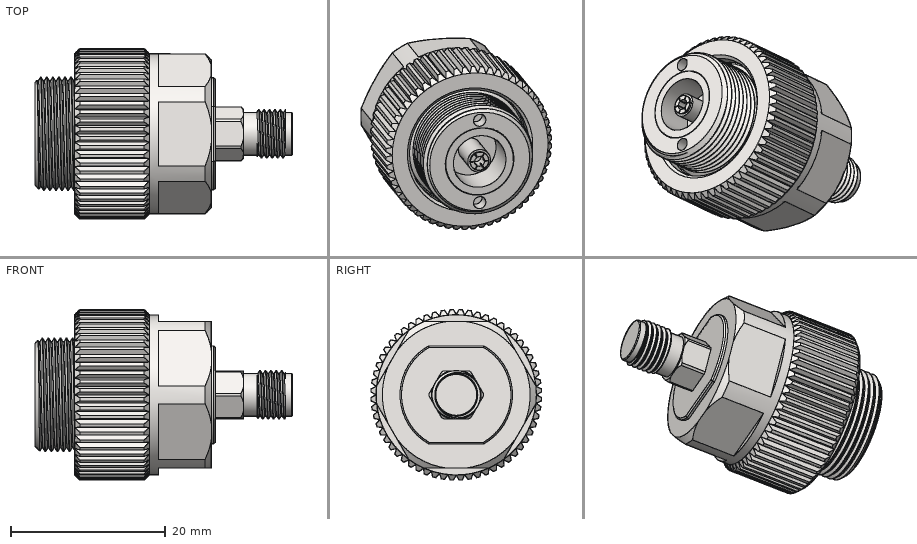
import cadquery as cq
import math


overall_length = 33.38
nut_start = 5.15
nut_end = 14.82
collar_end = 16.02
large_hex_end = 22.85
flange_end = 23.35
small_hex_end = 27.0

shell_face_radius = 6.68
shell_root_radius = 6.9
shell_crest_radius = 7.35
shell_pitch = 0.785
shell_crest_offset = 0.17

nut_chamfer = 0.67
groove_count = 60
groove_depth = 0.65
groove_width = 0.75
nut_radius = math.hypot(22.13 / 2, groove_width / 2)
nut_bore_radius = 16.0 / 2
nut_mouth_radius = 16.75 / 2
recess_floor = 7.15
inner_body_radius = 15.62 / 2

body_radius = 20.75 / 2
large_hex_flats = 19.03
large_hex_chamfer = 0.8
flange_radius = 14.6 / 2
flange_flats = 12.72
flange_chamfer = 0.2
small_hex_radius = 7.0 / 2
small_hex_flats = 6.25
small_hex_chamfer = 0.3

barrel_radius = 5.57 / 2
barrel_chamfer = 0.15
barrel_crest_radius = 3.15
barrel_pitch = 0.7
barrel_thread_start = 28.8
barrel_thread_end = 32.48
barrel_crest_offset = 0.37

cup_radius = 7.0 / 2
cup_depth = 5.35
ring_outer_radius = 9.15 / 2
ring_inner_radius = 9.05 / 2
ring_depth = 0.35
pin_hole_radius = 1.65 / 2
pin_hole_offset = 5.6
pin_hole_depth = 2.0
contact_radius = 3.05 / 2
contact_shoulder = 0.3
contact_tip_radius = 1.25
contact_tip_setback = 0.05
contact_bore_radius = 1.35 / 2
contact_bore_depth = 2.0
contact_slit_count = 6
contact_slit_width = 0.1
contact_slit_depth = 1.0


def cylinder(start, end, radius):
    """Solid cylinder on the X axis between two stations."""
    return cq.Workplane("YZ", origin=(start, 0, 0)).circle(radius).extrude(end - start)


def tube(start, end, outer_radius, inner_radius):
    """Hollow cylinder on the X axis between two stations."""
    return cylinder(start, end, outer_radius).cut(cylinder(start, end, inner_radius))


def revolved(points):
    """Solid of revolution about X from (station, radius) points."""
    return cq.Workplane("XY").polyline(points).close().revolve(360, (0, 0, 0), (1, 0, 0))


def hexagon(start, end, across_flats):
    """Hexagonal prism along X with one pair of flats facing +Z and -Z."""
    corner_diameter = across_flats / math.cos(math.pi / 6)
    return cq.Workplane("YZ", origin=(start, 0, 0)).polygon(6, corner_diameter).extrude(end - start)


def thread(start, turns, pitch, root_radius, crest_radius):
    """Right-hand V thread along X whose crest crosses the +Z side at the start station."""
    embed = 0.07
    root_half_width = 0.4 * pitch
    crest_half_width = 0.05 * pitch
    slope = (root_half_width - crest_half_width) / (crest_radius - root_radius)
    foot_half_width = root_half_width + slope * embed
    foot_radius = root_radius - embed
    helix = cq.Wire.makeHelix(pitch, turns * pitch, root_radius)
    ridge = (
        cq.Workplane("XZ")
        .polyline([
            (foot_radius, -foot_half_width),
            (crest_radius, -crest_half_width),
            (crest_radius, crest_half_width),
            (foot_radius, foot_half_width),
        ])
        .close()
        .sweep(cq.Workplane(obj=helix), isFrenet=True)
    )
    ridge = ridge.rotate((0, 0, 0), (0, 1, 0), 90).rotate((0, 0, 0), (1, 0, 0), 180)
    return ridge.translate((start, 0, 0))


def trimmed_thread(start, end, crest_offset, pitch, root_radius, crest_radius, lead_in):
    """Thread cut square at the end station and tapered at 45 degrees over the lead-in."""
    first_turn = start + crest_offset - pitch
    turns = math.ceil((end - first_turn) / pitch) + 1
    ridge = thread(first_turn, turns, pitch, root_radius, crest_radius)
    clearance = 0.07
    envelope = revolved([
        (start, 0),
        (start, crest_radius - lead_in),
        (start + lead_in + clearance, crest_radius + clearance),
        (end, crest_radius + clearance),
        (end, 0),
    ])
    return ridge.intersect(envelope)


def threaded_shell():
    """Front shell with its thread and the wider shoulder at the bottom of the nut recess."""
    face_chamfer = shell_root_radius - shell_face_radius
    shoulder_start = recess_floor - (inner_body_radius - shell_root_radius)
    core = revolved([
        (0, 0),
        (0, shell_face_radius),
        (face_chamfer, shell_root_radius),
        (nut_end, shell_root_radius),
        (nut_end, 0),
    ])
    shoulder = revolved([
        (shoulder_start, 0),
        (shoulder_start, shell_root_radius),
        (recess_floor, inner_body_radius),
        (nut_end, inner_body_radius),
        (nut_end, 0),
    ])
    ridge = trimmed_thread(
        0, recess_floor, shell_crest_offset, shell_pitch,
        shell_root_radius, shell_crest_radius, shell_crest_radius - shell_face_radius,
    )
    return core.union(ridge).union(shoulder)


def nut_blank():
    """Plain ring with a chamfered bore that leaves a blind recess around the shell."""
    nut = cylinder(nut_start, nut_end, nut_radius).faces("<X or >X").chamfer(nut_chamfer)
    mouth_chamfer = nut_mouth_radius - nut_bore_radius
    bore = revolved([
        (nut_start, 0),
        (nut_start, nut_mouth_radius),
        (nut_start + mouth_chamfer, nut_bore_radius),
        (recess_floor, nut_bore_radius),
        (recess_floor, 0),
    ])
    return nut.cut(bore)


def knurl_grooves():
    """Ring of straight V grooves cut along the full length of the nut."""
    groove = (
        cq.Workplane("YZ", origin=(nut_start, 0, 0))
        .polyline([
            (0, nut_radius - groove_depth),
            (-groove_width / 2, nut_radius),
            (0, nut_radius + groove_depth),
            (groove_width / 2, nut_radius),
        ])
        .close()
        .extrude(nut_end - nut_start)
    )
    grooves = cq.Workplane("YZ")
    for index in range(groove_count):
        grooves.add(groove.rotate((0, 0, 0), (1, 0, 0), index * 360 / groove_count))
    return cq.Workplane(obj=cq.Compound.makeCompound(grooves.vals()))


def rear_body():
    """Collar, large hexagon, two-flat flange and small hexagon behind the nut."""
    collar = cylinder(nut_end, collar_end, body_radius)
    large_hex = cylinder(collar_end, large_hex_end, body_radius).faces(">X").chamfer(large_hex_chamfer)
    large_hex = large_hex.intersect(hexagon(collar_end, large_hex_end, large_hex_flats))
    flange = cylinder(large_hex_end, flange_end, flange_radius)
    flats = cq.Workplane("XY").box(overall_length * 2, flange_radius * 2, flange_flats)
    flange = flange.intersect(flats).faces(">X").chamfer(flange_chamfer)
    small_hex = cylinder(flange_end, small_hex_end, small_hex_radius).faces(">X").chamfer(small_hex_chamfer)
    small_hex = small_hex.intersect(hexagon(flange_end, small_hex_end, small_hex_flats))
    return collar.union(large_hex).union(flange).union(small_hex)


def rear_barrel():
    """Plain barrel carrying a short thread, with a chamfered end."""
    barrel = cylinder(small_hex_end, overall_length, barrel_radius).faces(">X").chamfer(barrel_chamfer)
    ridge = trimmed_thread(
        barrel_thread_start, barrel_thread_end, barrel_crest_offset, barrel_pitch,
        barrel_radius, barrel_crest_radius, 0.5 * (barrel_crest_radius - barrel_radius),
    )
    return barrel.union(ridge)


def front_recesses():
    """Material removed from the shell face: cup, fine ring groove and two pin holes."""
    cup = cylinder(0, cup_depth, cup_radius)
    ring = tube(0, ring_depth, ring_outer_radius, ring_inner_radius)
    pin_holes = (
        cq.Workplane("YZ")
        .pushPoints([(0, pin_hole_offset), (0, -pin_hole_offset)])
        .circle(pin_hole_radius)
        .extrude(pin_hole_depth)
    )
    return cup.union(ring).union(pin_holes)


def center_contact():
    """Stepped contact standing in the cup, with a blind bore and radial slits."""
    post = cylinder(contact_shoulder, cup_depth, contact_radius)
    tip = cylinder(contact_tip_setback, contact_shoulder, contact_tip_radius)
    contact = post.union(tip).cut(cylinder(0, contact_bore_depth, contact_bore_radius))
    slit = cq.Workplane("XY").box(
        contact_slit_depth, contact_tip_radius, contact_slit_width, centered=(False, False, True)
    )
    for index in range(contact_slit_count):
        contact = contact.cut(slit.rotate((0, 0, 0), (1, 0, 0), index * 360 / contact_slit_count))
    return contact


result = (
    threaded_shell()
    .union(nut_blank())
    .cut(knurl_grooves())
    .union(rear_body())
    .union(rear_barrel())
    .cut(front_recesses())
    .union(center_contact())
)